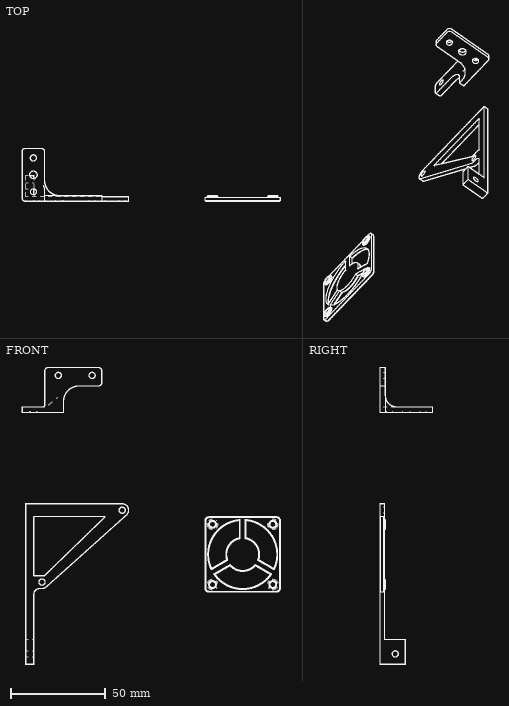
import cadquery as cq
import math

HALF_SQRT2 = math.sqrt(0.5)

FOOT_WIDTH = 12.0
FOOT_LENGTH = 28.0
BRACKET_THICKNESS = 3.0
BRACKET_TOP = 157.5
BRACKET_HEIGHT = 24.0
BRACKET_REACH = 42.4
UPRIGHT_RIGHT = 22.0
ARM_DEPTH = 10.0
ARM_INNER_RADIUS = 8.0
BRACKET_CORNER_RADIUS = 1.9
FOOT_CORNER_RADIUS = 1.5
ROOT_FILLET = 1.0
GUSSET_PLAN_RADIUS = 8.0
GUSSET_SIDE_RADIUS = 6.0
BRACKET_HOLE_DIAMETER = 3.2
FOOT_CENTER_HOLE_DIAMETER = 4.0
FOOT_HOLE_PITCH = 9.0
UPRIGHT_HOLE_PITCH = 18.0
UPRIGHT_HOLE_INSET = 5.2
UPRIGHT_HOLE_DROP = 4.3

FRAME_THICKNESS = 2.5
POST_LEFT = 1.9
POST_WIDTH = 4.4
RIM = 3.5
UPPER_HOLE_X = 53.0
UPPER_HOLE_Z = 81.7
HOLE_SPACING_X = 42.5
HOLE_SPACING_Z = 38.1
FRAME_HOLE_DIAMETER = 3.2
POST_FILLET = 3.0
TAB_LENGTH = 13.5
TAB_HEIGHT = 13.2
TAB_HOLE_Y = 8.2
TAB_HOLE_Z = 5.5

GUARD_SIZE = 40.0
GUARD_RIGHT = 137.0
GUARD_CENTER_Z = 58.3
GUARD_THICKNESS = 2.0
GUARD_CORNER_RADIUS = 2.0
OPENING_RADIUS = 18.1
HUB_RADIUS = 9.0
SPOKE_WIDTH = 3.6
SPOKE_COUNT = 3
GUARD_CHAMFER = 0.5
GUARD_HOLE_DIAMETER = 3.2
GUARD_HOLE_PITCH = 32.0
BOSS_DIAMETER = 5.7
BOSS_HEIGHT = 1.0
BOSS_CHAMFER = 0.5


def front_plane(y=0.0):
    """Sketch plane facing -Y at the given Y, with X to the right and Z up."""
    return cq.Workplane(cq.Plane(origin=(0, y, 0), xDir=(1, 0, 0), normal=(0, -1, 0)))


def plate(outline, depth):
    """Extrude a front outline from its plane toward +Y."""
    return outline.extrude(-depth)


def drill_front(points, diameter, depth):
    """Cylinders along Y, starting at Y = 0, for holes at the given X, Z points."""
    return plate(front_plane().pushPoints(points).circle(diameter / 2), depth)


def make_foot(bottom):
    foot = cq.Workplane().box(FOOT_WIDTH, FOOT_LENGTH, BRACKET_THICKNESS, centered=False)
    foot = foot.edges("|Z and (<X or >Y)").fillet(FOOT_CORNER_RADIUS)
    return foot.translate((0, 0, bottom))


def make_upright(bottom):
    arm_bottom = BRACKET_TOP - ARM_DEPTH
    outline = (
        front_plane()
        .moveTo(FOOT_WIDTH, bottom)
        .lineTo(UPRIGHT_RIGHT, bottom)
        .lineTo(UPRIGHT_RIGHT, arm_bottom)
        .lineTo(BRACKET_REACH, arm_bottom)
        .lineTo(BRACKET_REACH, BRACKET_TOP)
        .lineTo(FOOT_WIDTH, BRACKET_TOP)
        .close()
    )
    upright = plate(outline, BRACKET_THICKNESS)
    upright = upright.edges("|Y and (>X or >Z)").fillet(BRACKET_CORNER_RADIUS)
    inner_corner = cq.selectors.NearestToPointSelector((UPRIGHT_RIGHT, BRACKET_THICKNESS / 2, arm_bottom))
    return upright.edges(inner_corner).fillet(ARM_INNER_RADIUS)


def make_gusset(bottom):
    """Web behind the upright: hollow in plan and in side profile, with the root fillet along its left."""
    foot_top = bottom + BRACKET_THICKNESS
    back = BRACKET_THICKNESS
    left = FOOT_WIDTH - ROOT_FILLET
    plan_mid = GUSSET_PLAN_RADIUS * (1 - HALF_SQRT2)
    side_mid = GUSSET_SIDE_RADIUS * (1 - HALF_SQRT2)
    web_height = BRACKET_THICKNESS + GUSSET_SIDE_RADIUS

    plan = (
        cq.Workplane(origin=(0, 0, bottom))
        .moveTo(left, 0)
        .lineTo(FOOT_WIDTH, 0)
        .lineTo(FOOT_WIDTH, back)
        .lineTo(FOOT_WIDTH + GUSSET_PLAN_RADIUS, back)
        .threePointArc(
            (FOOT_WIDTH + plan_mid, back + plan_mid),
            (FOOT_WIDTH, back + GUSSET_PLAN_RADIUS),
        )
        .lineTo(left, back + GUSSET_PLAN_RADIUS)
        .close()
        .extrude(web_height)
    )
    side = (
        cq.Workplane("YZ")
        .moveTo(0, bottom)
        .lineTo(back + GUSSET_PLAN_RADIUS, bottom)
        .lineTo(back + GUSSET_PLAN_RADIUS, foot_top)
        .lineTo(back + GUSSET_SIDE_RADIUS, foot_top)
        .threePointArc(
            (back + side_mid, foot_top + side_mid),
            (back, foot_top + GUSSET_SIDE_RADIUS),
        )
        .lineTo(0, foot_top + GUSSET_SIDE_RADIUS)
        .close()
        .extrude(FOOT_WIDTH + GUSSET_PLAN_RADIUS)
    )
    above_foot = (
        cq.Workplane()
        .box(ROOT_FILLET, FOOT_LENGTH, GUSSET_SIDE_RADIUS, centered=False)
        .translate((left, 0, foot_top + ROOT_FILLET))
    )
    root_hollow = plate(
        front_plane().center(left, foot_top + ROOT_FILLET).circle(ROOT_FILLET), FOOT_LENGTH
    )
    return plan.intersect(side).cut(above_foot).cut(root_hollow)


def make_bracket():
    bottom = BRACKET_TOP - BRACKET_HEIGHT
    bracket = make_foot(bottom).union(make_upright(bottom)).union(make_gusset(bottom))

    foot_center = (FOOT_WIDTH / 2, FOOT_LENGTH / 2)
    foot_holes = cq.Workplane(origin=(*foot_center, bottom))
    outer_points = [(0, -FOOT_HOLE_PITCH), (0, FOOT_HOLE_PITCH)]
    bracket = bracket.cut(
        foot_holes.pushPoints(outer_points).circle(BRACKET_HOLE_DIAMETER / 2).extrude(BRACKET_THICKNESS)
    )
    bracket = bracket.cut(foot_holes.circle(FOOT_CENTER_HOLE_DIAMETER / 2).extrude(BRACKET_THICKNESS))

    far_hole_x = BRACKET_REACH - UPRIGHT_HOLE_INSET
    hole_z = BRACKET_TOP - UPRIGHT_HOLE_DROP
    upright_points = [(far_hole_x - UPRIGHT_HOLE_PITCH, hole_z), (far_hole_x, hole_z)]
    return bracket.cut(drill_front(upright_points, BRACKET_HOLE_DIAMETER, BRACKET_THICKNESS))


def make_support_arm():
    lower_x = UPPER_HOLE_X - HOLE_SPACING_X
    lower_z = UPPER_HOLE_Z - HOLE_SPACING_Z
    post_right = POST_LEFT + POST_WIDTH
    slope = math.atan2(HOLE_SPACING_Z, HOLE_SPACING_X)

    def rim_point(x, z, angle):
        return (x + RIM * math.cos(angle), z + RIM * math.sin(angle))

    strut_side = slope - math.pi / 2
    upper_mid = (math.pi / 2 + strut_side) / 2
    lower_mid = (strut_side - math.pi / 2) / 2
    lug_bottom = lower_z - RIM
    fillet_mid = POST_FILLET * (1 - HALF_SQRT2)
    outline = (
        front_plane()
        .moveTo(POST_LEFT, 0)
        .lineTo(POST_LEFT, UPPER_HOLE_Z + RIM)
        .lineTo(UPPER_HOLE_X, UPPER_HOLE_Z + RIM)
        .threePointArc(
            rim_point(UPPER_HOLE_X, UPPER_HOLE_Z, upper_mid),
            rim_point(UPPER_HOLE_X, UPPER_HOLE_Z, strut_side),
        )
        .lineTo(*rim_point(lower_x, lower_z, strut_side))
        .threePointArc(rim_point(lower_x, lower_z, lower_mid), (lower_x, lug_bottom))
        .lineTo(post_right + POST_FILLET, lug_bottom)
        .threePointArc(
            (post_right + fillet_mid, lug_bottom - fillet_mid),
            (post_right, lug_bottom - POST_FILLET),
        )
        .lineTo(post_right, 0)
        .close()
    )
    arm = plate(outline, FRAME_THICKNESS)

    corner_shift = RIM * (1 + math.cos(slope)) / math.sin(slope)
    low_shift = RIM * (1 - math.cos(slope)) / math.sin(slope)
    opening = (
        front_plane()
        .moveTo(post_right, UPPER_HOLE_Z - RIM)
        .lineTo(UPPER_HOLE_X - corner_shift, UPPER_HOLE_Z - RIM)
        .lineTo(lower_x + low_shift, lower_z + RIM)
        .lineTo(post_right, lower_z + RIM)
        .close()
    )
    arm = arm.cut(plate(opening, FRAME_THICKNESS))
    hole_points = [(UPPER_HOLE_X, UPPER_HOLE_Z), (lower_x, lower_z)]
    arm = arm.cut(drill_front(hole_points, FRAME_HOLE_DIAMETER, FRAME_THICKNESS))

    tab = cq.Workplane().box(POST_WIDTH, TAB_LENGTH, TAB_HEIGHT, centered=False)
    tab_hole = (
        cq.Workplane("YZ").center(TAB_HOLE_Y, TAB_HOLE_Z).circle(FRAME_HOLE_DIAMETER / 2).extrude(POST_WIDTH)
    )
    return arm.union(tab.cut(tab_hole).translate((POST_LEFT, 0, 0)))


def make_hub_with_spokes():
    """Hub disc with its three spokes, running past the edge of the opening."""
    hub = plate(front_plane().circle(HUB_RADIUS), GUARD_THICKNESS)
    spoke_length = GUARD_SIZE / 2
    spoke = plate(
        front_plane().center(0, spoke_length / 2).rect(SPOKE_WIDTH, spoke_length), GUARD_THICKNESS
    )
    for index in range(SPOKE_COUNT):
        hub = hub.union(spoke.rotate((0, 0, 0), (0, 1, 0), index * 360 / SPOKE_COUNT))
    return hub


def make_guard():
    """Square fan guard, built around the origin and then moved into place."""
    guard = plate(front_plane().rect(GUARD_SIZE, GUARD_SIZE), GUARD_THICKNESS)
    guard = guard.edges("|Y").fillet(GUARD_CORNER_RADIUS)
    windows = plate(front_plane().circle(OPENING_RADIUS), GUARD_THICKNESS).cut(make_hub_with_spokes())
    guard = guard.cut(windows)

    reach = GUARD_HOLE_PITCH / 2
    hole_points = [(x, z) for x in (-reach, reach) for z in (-reach, reach)]
    guard = guard.cut(drill_front(hole_points, GUARD_HOLE_DIAMETER, GUARD_THICKNESS))
    guard = guard.faces("<Y").edges().chamfer(GUARD_CHAMFER)

    bosses = plate(
        front_plane(GUARD_THICKNESS)
        .pushPoints(hole_points)
        .circle(BOSS_DIAMETER / 2),
        BOSS_HEIGHT,
    )
    bosses = bosses.faces(">Y").edges().chamfer(BOSS_CHAMFER)
    bosses = bosses.cut(drill_front(hole_points, GUARD_HOLE_DIAMETER, GUARD_THICKNESS + BOSS_HEIGHT))
    guard = guard.union(bosses)
    return guard.translate((GUARD_RIGHT - GUARD_SIZE / 2, 0, GUARD_CENTER_Z))


bracket = make_bracket()
support_arm = make_support_arm()
guard = make_guard()

result = cq.Compound.makeCompound([bracket.val(), support_arm.val(), guard.val()])